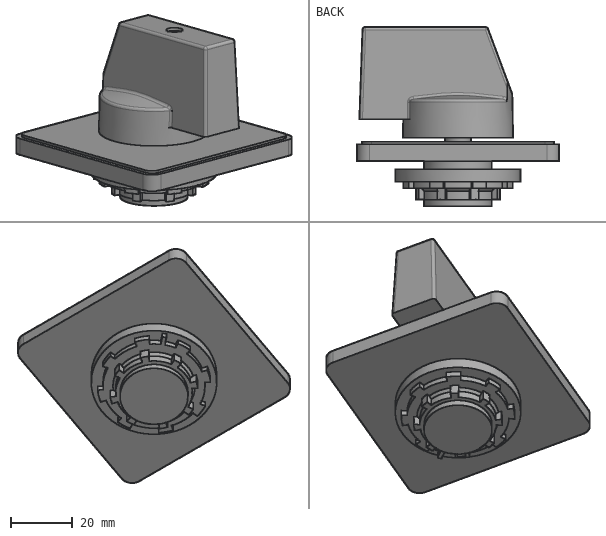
import cadquery as cq
import math

NUT_TEETH_BOTTOM = 2.2
NUT_TEETH_TOP = 5.9
COLLAR_BOTTOM = 8.0
COLLAR_TOP = 12.1
PLATE_BOTTOM = 14.7
PLATE_TOP = 20.2
PANEL_TOP = 21.0
KNOB_BOTTOM = 22.25
ARM_BOTTOM = 28.2
KNOB_RIM = 34.7
HANDLE_TOP = 58.2

STEM_RADIUS = 11.0
SHAFT_RADIUS = 4.25

COLLAR_RADIUS = 20.35
TOOTH_COUNT = 8
UPPER_TEETH = {"root": 16.5, "tip": 18.4, "angle": 15.0}
LOWER_TEETH = {"root": 12.4, "tip": 14.3, "angle": 10.8}
FLARE_HEIGHT = 0.9
TAB_RADIUS = 19.5
TAB_WIDTH = 1.4
TAB_ANGLE = 225

PLATE_SIZE = 65.6
PLATE_CORNER = 4.1
PANEL_INSET = 1.65
PANEL_CORNER = 3.0

KNOB_RADIUS = 17.9
KNOB_DRAFT = 1.1
CROWN_RISE = 2.6

ARM_REACH = 32.0
HANDLE_WIDTH = 15.9
HANDLE_DRAFT = 2.0
SLOPE_TOP_X = -9.5
SLOPE_FOOT_X = -17.5
SLOPE_FOOT_Z = 36.7
EDGE_FILLET = 1.0
HOLE_X = 9.5
HOLE_RADIUS = 2.6
HOLE_DEPTH = 1.0


def disc(radius, bottom, top):
    return cq.Workplane("XY").workplane(offset=bottom).circle(radius).extrude(top - bottom)


def rounded_square(size, corner, bottom, top):
    slab = cq.Workplane("XY").workplane(offset=bottom).rect(size, size).extrude(top - bottom)
    return slab.edges("|Z").fillet(corner)


def toothed_ring(teeth, bottom, top):
    """Root cylinder with radial-sided teeth standing evenly around it."""
    ring = disc(teeth["root"], bottom, top)
    half_angle = math.radians(teeth["angle"] / 2)
    reach = 2 * teeth["tip"]
    sector = (
        cq.Workplane("XY").workplane(offset=bottom)
        .polyline([
            (0, 0),
            (reach * math.cos(half_angle), -reach * math.sin(half_angle)),
            (reach * math.cos(half_angle), reach * math.sin(half_angle)),
        ])
        .close().extrude(top - bottom)
    )
    tooth = disc(teeth["tip"], bottom, top).intersect(sector)
    pitch = 360 / TOOTH_COUNT
    for index in range(TOOTH_COUNT):
        ring = ring.union(tooth.rotate((0, 0, 0), (0, 0, 1), (index + 0.5) * pitch))
    return ring


def make_nut():
    nut = disc(COLLAR_RADIUS, COLLAR_BOTTOM, COLLAR_TOP)
    nut = nut.union(toothed_ring(UPPER_TEETH, NUT_TEETH_TOP, COLLAR_BOTTOM))
    nut = nut.union(toothed_ring(LOWER_TEETH, NUT_TEETH_BOTTOM, NUT_TEETH_TOP))

    flare = cq.Solid.makeCone(
        LOWER_TEETH["root"], LOWER_TEETH["root"] + FLARE_HEIGHT, FLARE_HEIGHT,
        pnt=cq.Vector(0, 0, NUT_TEETH_TOP - FLARE_HEIGHT),
    )
    nut = nut.union(cq.Workplane(flare))

    tab = cq.Workplane("XY").box(
        TAB_RADIUS, TAB_WIDTH, COLLAR_BOTTOM - NUT_TEETH_TOP, centered=(False, True, False)
    )
    tab = tab.rotate((0, 0, 0), (0, 0, 1), TAB_ANGLE).translate((0, 0, NUT_TEETH_TOP))
    return nut.union(tab)


def make_plate():
    plate = rounded_square(PLATE_SIZE, PLATE_CORNER, PLATE_BOTTOM, PLATE_TOP)
    panel = rounded_square(PLATE_SIZE - 2 * PANEL_INSET, PANEL_CORNER, PLATE_TOP, PANEL_TOP)
    return plate.union(panel)


def drafted_drum(top):
    """Knob drum with its side draft continued up to a height, and its radius there."""
    height = top - KNOB_BOTTOM
    top_radius = KNOB_RADIUS - height * math.tan(math.radians(KNOB_DRAFT))
    drum = cq.Solid.makeCone(KNOB_RADIUS, top_radius, height, pnt=cq.Vector(0, 0, KNOB_BOTTOM))
    return cq.Workplane(drum), top_radius


def make_drum():
    drum, rim_radius = drafted_drum(KNOB_RIM)
    crown = cq.Solid.makeCone(rim_radius, 0, CROWN_RISE, pnt=cq.Vector(0, 0, KNOB_RIM))
    return drum.union(cq.Workplane(crown))


def make_handle():
    blade = (
        cq.Workplane("XY").workplane(offset=ARM_BOTTOM)
        .rect(2 * ARM_REACH, HANDLE_WIDTH)
        .extrude(HANDLE_TOP - ARM_BOTTOM, taper=HANDLE_DRAFT)
    )

    run_per_rise = (SLOPE_TOP_X - SLOPE_FOOT_X) / (HANDLE_TOP - SLOPE_FOOT_Z)
    slope_bottom_x = SLOPE_TOP_X - run_per_rise * (HANDLE_TOP - ARM_BOTTOM)
    behind_slope = (
        cq.Workplane("XZ")
        .polyline([
            (SLOPE_TOP_X, HANDLE_TOP),
            (slope_bottom_x, ARM_BOTTOM),
            (-PLATE_SIZE, ARM_BOTTOM),
            (-PLATE_SIZE, HANDLE_TOP),
        ])
        .close().extrude(HANDLE_WIDTH, both=True)
    )
    blade = blade.cut(behind_slope)
    blade = blade.edges("not(<Z)").fillet(EDGE_FILLET)

    drum_limit, _ = drafted_drum(HANDLE_TOP)
    front_half = cq.Workplane("XY").box(
        PLATE_SIZE, PLATE_SIZE, HANDLE_TOP, centered=(False, True, False)
    )
    return blade.intersect(drum_limit.union(front_half))


def edges_in_band(body, kind, bottom, top):
    """Edges of one curve kind whose centre lies between two heights, anywhere across the part."""
    band = cq.selectors.BoxSelector((-PLATE_SIZE, -PLATE_SIZE, bottom), (PLATE_SIZE, PLATE_SIZE, top))
    return body.edges(kind).edges(band)


def make_knob():
    knob = make_drum().union(make_handle())

    corner_margin = 0.1 * (KNOB_RIM - ARM_BOTTOM)
    corners = edges_in_band(knob, "%ELLIPSE", ARM_BOTTOM + corner_margin, KNOB_RIM - corner_margin)
    knob = corners.fillet(EDGE_FILLET)

    rim = edges_in_band(knob, "%CIRCLE", KNOB_RIM - EDGE_FILLET, KNOB_RIM + EDGE_FILLET)
    knob = rim.fillet(EDGE_FILLET)

    knob = knob.edges("%HYPERBOLA").fillet(EDGE_FILLET)

    hole = disc(HOLE_RADIUS, HANDLE_TOP - HOLE_DEPTH, HANDLE_TOP)
    return knob.cut(hole.translate((HOLE_X, 0, 0)))


result = (
    disc(STEM_RADIUS, 0, PLATE_BOTTOM)
    .union(make_nut())
    .union(make_plate())
    .union(disc(SHAFT_RADIUS, PANEL_TOP, KNOB_BOTTOM))
    .union(make_knob())
)